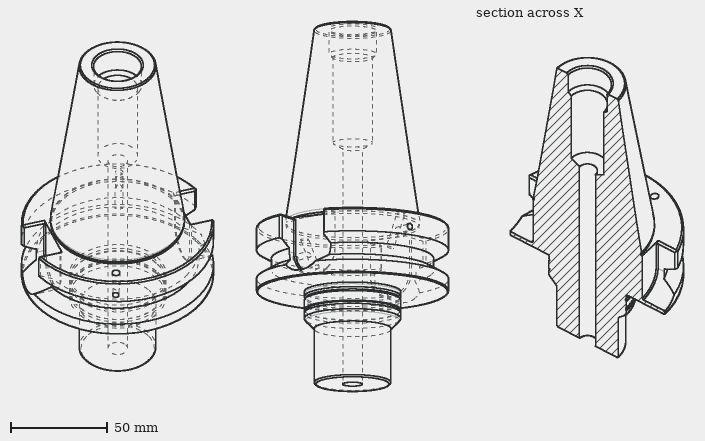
import cadquery as cq
import math

TOTAL_HEIGHT = 188.8

TAPER_RATIO = 7 / 24
GAUGE_RADIUS = 35.0
GAUGE_Z = 86.8
GAUGE_BAND = 1.7
TOP_RADIUS = GAUGE_RADIUS - TAPER_RATIO * (TOTAL_HEIGHT - GAUGE_Z) / 2
TOP_CHAMFER = 0.8

FLANGE_RADIUS = 50.0
FLANGE_TOP_Z = 83.8
FLANGE_BOTTOM_Z = 49.0
FLANGE_TOP_CHAMFER = 1.0
FLANGE_BOTTOM_CHAMFER = 0.5
FLANGE_NECK_RADIUS = 34.5
V_FLOOR_RADIUS = 42.3
V_UPPER_EDGE_Z = 71.2
V_LOWER_EDGE_Z = 56.0
V_FLANK_ANGLE = 30
V_RISE = (FLANGE_RADIUS - V_FLOOR_RADIUS) * math.tan(math.radians(V_FLANK_ANGLE))

COLLAR_DIAMETER = 50.5
COLLAR_RADIUS = COLLAR_DIAMETER / 2
SEAT_RADIUS = 25.1
GROOVE_DEPTH = 0.5
GROOVE_RADIUS = COLLAR_RADIUS - GROOVE_DEPTH
SEAT_TOP_Z = 48.3
SEAT_BOTTOM_Z = 46.6
UPPER_GROOVE_Z = 45.5
BAND_TOP_Z = 44.5
BAND_BOTTOM_Z = 39.5
LOWER_GROOVE_Z = 39.0
LIP_TOP_Z = 37.8
LIP_BOTTOM_Z = 35.0
LIP_CHAMFER = 0.8

NOSE_RADIUS = 20.0
NOSE_TOP_Z = 29.5
NOSE_CHAMFER = 1.0

MOUTH_RADIUS = 13.4
PILOT_RADIUS = 12.5
PILOT_DEPTH = 13.2
LEAD_IN_DEPTH = 15.1
THREAD_RADIUS = 10.4
THREAD_DEPTH = 60.5
THROUGH_RADIUS = 5.1
DRILL_HALF_ANGLE = 59
DRILL_POINT_HEIGHT = (THREAD_RADIUS - THROUGH_RADIUS) / math.tan(math.radians(DRILL_HALF_ANGLE))

SLOT_HALF_WIDTH = 12.8
SLOT_FLOOR_SPACING = 70.8
SLOT_FLOOR_Y = SLOT_FLOOR_SPACING / 2
SLOT_ARC_Z = 65.0
SLOT_CORNER = 0.8
SLOT_EDGE_CHAMFER = 1.1

COOLANT_ANGLES = (160, 340)
COOLANT_PITCH_RADIUS = 42.0
COOLANT_DIAMETER = 4.0
COOLANT_TILT = 30
COOLANT_LENGTH = 18.9
PLUG_DIAMETER = 3.2
PLUG_Z = 75.5
PLUG_DEPTH = 13.2


def revolve(profile):
    """Turn a (radius, z) outline about the Z axis."""
    return cq.Workplane("XZ").polyline(profile).close().revolve(360, (0, 0), (0, 1))


def make_body():
    lip_cone_radius = COLLAR_RADIUS - LIP_CHAMFER
    return revolve([
        (0, 0),
        (NOSE_RADIUS - NOSE_CHAMFER, 0),
        (NOSE_RADIUS, NOSE_CHAMFER),
        (NOSE_RADIUS, NOSE_TOP_Z),
        (lip_cone_radius, NOSE_TOP_Z + lip_cone_radius - NOSE_RADIUS),
        (COLLAR_RADIUS, LIP_BOTTOM_Z),
        (COLLAR_RADIUS, LIP_TOP_Z),
        (GROOVE_RADIUS, LOWER_GROOVE_Z),
        (COLLAR_RADIUS, BAND_BOTTOM_Z),
        (COLLAR_RADIUS, BAND_TOP_Z),
        (GROOVE_RADIUS, UPPER_GROOVE_Z),
        (SEAT_RADIUS, SEAT_BOTTOM_Z),
        (SEAT_RADIUS, SEAT_TOP_Z),
        (COLLAR_RADIUS, FLANGE_BOTTOM_Z),
        (FLANGE_RADIUS - FLANGE_BOTTOM_CHAMFER, FLANGE_BOTTOM_Z),
        (FLANGE_RADIUS, FLANGE_BOTTOM_Z + FLANGE_BOTTOM_CHAMFER),
        (FLANGE_RADIUS, V_LOWER_EDGE_Z),
        (V_FLOOR_RADIUS, V_LOWER_EDGE_Z + V_RISE),
        (V_FLOOR_RADIUS, V_UPPER_EDGE_Z - V_RISE),
        (FLANGE_RADIUS, V_UPPER_EDGE_Z),
        (FLANGE_RADIUS, FLANGE_TOP_Z - FLANGE_TOP_CHAMFER),
        (FLANGE_RADIUS - FLANGE_TOP_CHAMFER, FLANGE_TOP_Z),
        (FLANGE_NECK_RADIUS, FLANGE_TOP_Z),
        (FLANGE_NECK_RADIUS, GAUGE_Z - GAUGE_BAND),
        (GAUGE_RADIUS, GAUGE_Z - GAUGE_BAND),
        (GAUGE_RADIUS, GAUGE_Z),
        (TOP_RADIUS, TOTAL_HEIGHT - TOP_CHAMFER),
        (TOP_RADIUS - TOP_CHAMFER, TOTAL_HEIGHT),
        (0, TOTAL_HEIGHT),
    ])


def make_bore():
    thread_bottom_z = TOTAL_HEIGHT - THREAD_DEPTH
    return revolve([
        (0, 0),
        (THROUGH_RADIUS, 0),
        (THROUGH_RADIUS, thread_bottom_z - DRILL_POINT_HEIGHT),
        (THREAD_RADIUS, thread_bottom_z),
        (THREAD_RADIUS, TOTAL_HEIGHT - LEAD_IN_DEPTH),
        (PILOT_RADIUS, TOTAL_HEIGHT - PILOT_DEPTH),
        (PILOT_RADIUS, TOTAL_HEIGHT - (MOUTH_RADIUS - PILOT_RADIUS)),
        (MOUTH_RADIUS, TOTAL_HEIGHT),
        (0, TOTAL_HEIGHT),
    ])


def make_slot():
    """Round-bottomed drive slot on the -Y side, open outward and upward."""
    slot_length = FLANGE_RADIUS - SLOT_FLOOR_Y
    slot = (
        cq.Workplane("XZ", origin=(0, -SLOT_FLOOR_Y, 0))
        .moveTo(-SLOT_HALF_WIDTH, FLANGE_TOP_Z)
        .lineTo(-SLOT_HALF_WIDTH, SLOT_ARC_Z)
        .threePointArc((0, SLOT_ARC_Z - SLOT_HALF_WIDTH), (SLOT_HALF_WIDTH, SLOT_ARC_Z))
        .lineTo(SLOT_HALF_WIDTH, FLANGE_TOP_Z)
        .close()
        .extrude(slot_length)
    )
    slot = slot.edges(">Y").edges("not >Z").chamfer(SLOT_CORNER)

    flared_half_width = SLOT_HALF_WIDTH + SLOT_EDGE_CHAMFER
    top_flare = (
        cq.Workplane("XZ", origin=(0, -SLOT_FLOOR_Y, 0))
        .polyline([
            (-flared_half_width, FLANGE_TOP_Z),
            (-SLOT_HALF_WIDTH, FLANGE_TOP_Z - SLOT_EDGE_CHAMFER),
            (SLOT_HALF_WIDTH, FLANGE_TOP_Z - SLOT_EDGE_CHAMFER),
            (flared_half_width, FLANGE_TOP_Z),
        ])
        .close()
        .extrude(slot_length)
    )

    rim_y = math.sqrt(FLANGE_RADIUS**2 - flared_half_width**2)
    flare_start_y = rim_y - SLOT_EDGE_CHAMFER
    flare_base_z = V_UPPER_EDGE_Z - V_RISE
    rim_flare = (
        cq.Workplane("XY", origin=(0, 0, flare_base_z))
        .polyline([
            (-SLOT_HALF_WIDTH, -flare_start_y),
            (-flared_half_width, -rim_y),
            (-flared_half_width, -FLANGE_RADIUS),
            (flared_half_width, -FLANGE_RADIUS),
            (flared_half_width, -rim_y),
            (SLOT_HALF_WIDTH, -flare_start_y),
        ])
        .close()
        .extrude(FLANGE_TOP_Z - flare_base_z)
    )
    return slot.union(top_flare).union(rim_flare)


def make_cylinder(start, direction, diameter, length):
    solid = cq.Solid.makeCylinder(diameter / 2, length, cq.Vector(*start), cq.Vector(*direction))
    return cq.Workplane(solid)


def make_coolant_holes(angle):
    """Coolant hole sloping inward from the flange top, and the radial plug hole that meets it."""
    slope = math.radians(COOLANT_TILT)
    axis = (-math.sin(slope), 0, -math.cos(slope))
    overrun = COOLANT_DIAMETER
    start = (
        COOLANT_PITCH_RADIUS - axis[0] * overrun,
        0,
        FLANGE_TOP_Z - axis[2] * overrun,
    )
    sloping = make_cylinder(start, axis, COOLANT_DIAMETER, COOLANT_LENGTH + overrun)
    plug = make_cylinder((FLANGE_RADIUS, 0, PLUG_Z), (-1, 0, 0), PLUG_DIAMETER, PLUG_DEPTH)
    return sloping.union(plug).rotate((0, 0, 0), (0, 0, 1), angle)


result = make_body().cut(make_bore())

for slot_angle in (0, 180):
    result = result.cut(make_slot().rotate((0, 0, 0), (0, 0, 1), slot_angle))

for coolant_angle in COOLANT_ANGLES:
    result = result.cut(make_coolant_holes(coolant_angle))